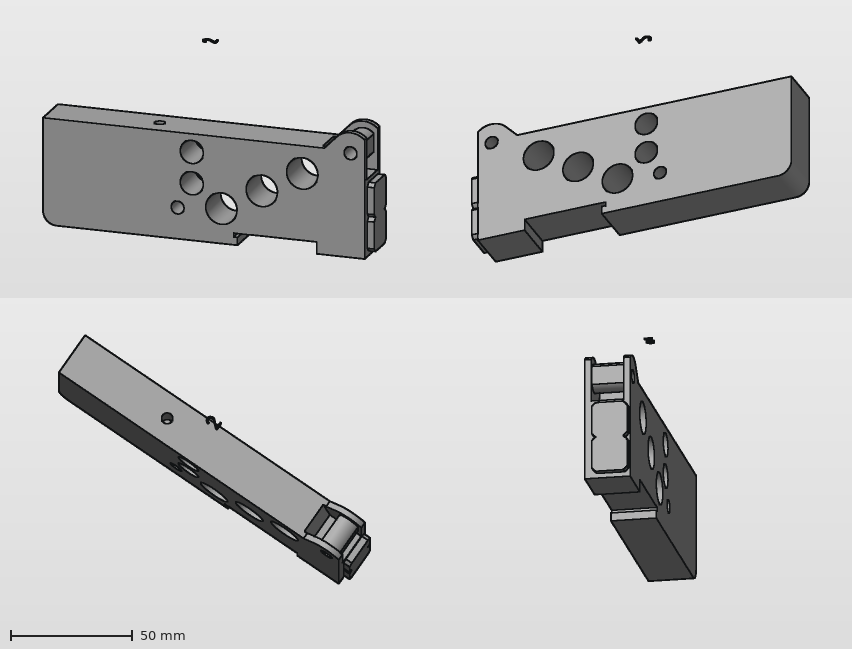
import cadquery as cq
import math

LENGTH = 139.5
THICKNESS = 19.0
HEIGHT = 46.0
CORNER_RADIUS = 6.0

PIVOT_X = 133.4
PIVOT_Z = 45.0
LUG_RADIUS = 8.8
LUG_FOOT_X = 122.0

NOTCH_FRONT_X = 84.4
NOTCH_REAR_X = 118.7
NOTCH_TOP = 5.1
UNDERCUT_DEPTH = 1.7
UNDERCUT_BOTTOM = 3.4

SMALL_HOLE_DIAMETER = 5.5
SMALL_HOLES = [(58.4, 13.5), (PIVOT_X, PIVOT_Z)]
MEDIUM_HOLE_DIAMETER = 10.0
MEDIUM_HOLES = [(64.5, 24.7), (64.5, 38.2)]
LARGE_HOLE_DIAMETER = 13.5
LARGE_HOLES = [(77.4, 15.1), (94.9, 24.7), (112.5, 34.0)]

VERTICAL_HOLE_DIAMETER = 4.5
VERTICAL_HOLE_X = 47.5
VERTICAL_HOLE_DEPTH = 14.2

CHEEK = 2.7
SLOT_WIDTH = THICKNESS - 2 * CHEEK
SLOT_FRONT_X = 120.5
SLOT_FLOOR_FRONT_X = 123.8
SLOT_FLOOR_Z = 33.5
KNUCKLE_RADIUS = 6.0
KNUCKLE_HALF_WIDTH = 4.5

PAD_COUNT = 2
PAD_SIZE = 14.8
PAD_DEPTH = 3.0
PAD_ROUND_DIAMETER = 18.8
PAD_Y = 1.4
LOWER_PAD_BOTTOM = 2.0

NUMERAL_TOP = 82.6
NUMERAL_THICKNESS = 0.4
NUMERAL_FRONT_X = 65.0
NUMERAL_LENGTH = 6.0
NUMERAL_RIGHT_Y = 5.1
NUMERAL_WIDTH = 3.3
SHOULDER = 0.7
STROKE = 0.5


def across(plane_sketch, width):
    """Extrude an XZ sketch to a width centred on Y = 0."""
    return plane_sketch.extrude(width / 2, both=True)


def side_profile():
    foot_dx = LUG_FOOT_X - PIVOT_X
    foot_dz = HEIGHT - PIVOT_Z
    tangent_angle = math.atan2(foot_dz, foot_dx) - math.acos(LUG_RADIUS / math.hypot(foot_dx, foot_dz))
    rear_angle = math.acos((LENGTH - PIVOT_X) / LUG_RADIUS)

    def on_lug(angle):
        return (PIVOT_X + LUG_RADIUS * math.cos(angle), PIVOT_Z + LUG_RADIUS * math.sin(angle))

    return (
        cq.Workplane("XZ")
        .moveTo(CORNER_RADIUS, 0)
        .lineTo(NOTCH_FRONT_X, 0)
        .lineTo(NOTCH_FRONT_X, UNDERCUT_BOTTOM)
        .lineTo(NOTCH_FRONT_X - UNDERCUT_DEPTH, UNDERCUT_BOTTOM)
        .lineTo(NOTCH_FRONT_X - UNDERCUT_DEPTH, NOTCH_TOP)
        .lineTo(NOTCH_REAR_X, NOTCH_TOP)
        .lineTo(NOTCH_REAR_X, 0)
        .lineTo(LENGTH, 0)
        .lineTo(*on_lug(rear_angle))
        .threePointArc(on_lug(math.pi / 2), on_lug(tangent_angle))
        .lineTo(LUG_FOOT_X, HEIGHT)
        .lineTo(0, HEIGHT)
        .lineTo(0, CORNER_RADIUS)
        .radiusArc((CORNER_RADIUS, 0), -CORNER_RADIUS)
        .close()
    )


def holes_across(centres, diameter):
    return across(cq.Workplane("XZ").pushPoints(centres).circle(diameter / 2), THICKNESS)


def lug_slot():
    top = PIVOT_Z + 2 * LUG_RADIUS
    slot = across(
        cq.Workplane("XZ")
        .moveTo(SLOT_FRONT_X, top)
        .lineTo(SLOT_FRONT_X, HEIGHT)
        .lineTo(SLOT_FLOOR_FRONT_X, SLOT_FLOOR_Z)
        .lineTo(LENGTH, SLOT_FLOOR_Z)
        .lineTo(LENGTH, top)
        .close(),
        SLOT_WIDTH,
    )
    round_bar = across(cq.Workplane("XZ").center(PIVOT_X, PIVOT_Z).circle(KNUCKLE_RADIUS), SLOT_WIDTH)
    flats = cq.Workplane("XY", origin=(PIVOT_X, 0, PIVOT_Z)).box(
        2 * KNUCKLE_HALF_WIDTH, SLOT_WIDTH, 2 * KNUCKLE_RADIUS
    )
    knuckle = round_bar.intersect(flats)
    return slot.cut(knuckle)


def vertical_hole():
    return (
        cq.Workplane("XY", origin=(VERTICAL_HOLE_X, 0, HEIGHT - VERTICAL_HOLE_DEPTH))
        .circle(VERTICAL_HOLE_DIAMETER / 2)
        .extrude(VERTICAL_HOLE_DEPTH)
    )


def rear_pad(bottom):
    face = cq.Workplane("YZ", origin=(LENGTH, PAD_Y, bottom + PAD_SIZE / 2))
    square = face.rect(PAD_SIZE, PAD_SIZE).extrude(PAD_DEPTH)
    disc = face.circle(PAD_ROUND_DIAMETER / 2).extrude(PAD_DEPTH)
    return square.intersect(disc)


def make_housing():
    body = across(side_profile(), THICKNESS)
    body = body.cut(lug_slot())
    body = body.cut(holes_across(SMALL_HOLES, SMALL_HOLE_DIAMETER))
    body = body.cut(holes_across(MEDIUM_HOLES, MEDIUM_HOLE_DIAMETER))
    body = body.cut(holes_across(LARGE_HOLES, LARGE_HOLE_DIAMETER))
    body = body.cut(vertical_hole())
    for row in range(PAD_COUNT):
        body = body.union(rear_pad(LOWER_PAD_BOTTOM + row * PAD_SIZE))
    return body


def make_numeral():
    """A figure 2 lying flat, its head toward -X and its foot toward +X."""
    bowl_radius = NUMERAL_WIDTH / 2
    bowl_x = NUMERAL_FRONT_X + bowl_radius
    shoulder_x = bowl_x + SHOULDER
    middle_y = NUMERAL_RIGHT_Y - bowl_radius
    left_y = NUMERAL_RIGHT_Y - NUMERAL_WIDTH
    end_x = NUMERAL_FRONT_X + NUMERAL_LENGTH
    return (
        cq.Workplane("XY", origin=(0, 0, NUMERAL_TOP - NUMERAL_THICKNESS))
        .moveTo(bowl_x, left_y)
        .threePointArc((NUMERAL_FRONT_X, middle_y), (bowl_x, NUMERAL_RIGHT_Y))
        .lineTo(shoulder_x, NUMERAL_RIGHT_Y)
        .lineTo(end_x - STROKE, left_y + STROKE)
        .lineTo(end_x - STROKE, NUMERAL_RIGHT_Y)
        .lineTo(end_x, NUMERAL_RIGHT_Y)
        .lineTo(end_x, left_y)
        .lineTo(end_x - STROKE, left_y)
        .lineTo(shoulder_x, NUMERAL_RIGHT_Y - STROKE)
        .lineTo(bowl_x, NUMERAL_RIGHT_Y - STROKE)
        .threePointArc((NUMERAL_FRONT_X + STROKE, middle_y), (bowl_x, left_y + STROKE))
        .close()
        .extrude(NUMERAL_THICKNESS)
    )


housing = make_housing()
numeral = make_numeral()
result = cq.Compound.makeCompound([housing.val(), numeral.val()])